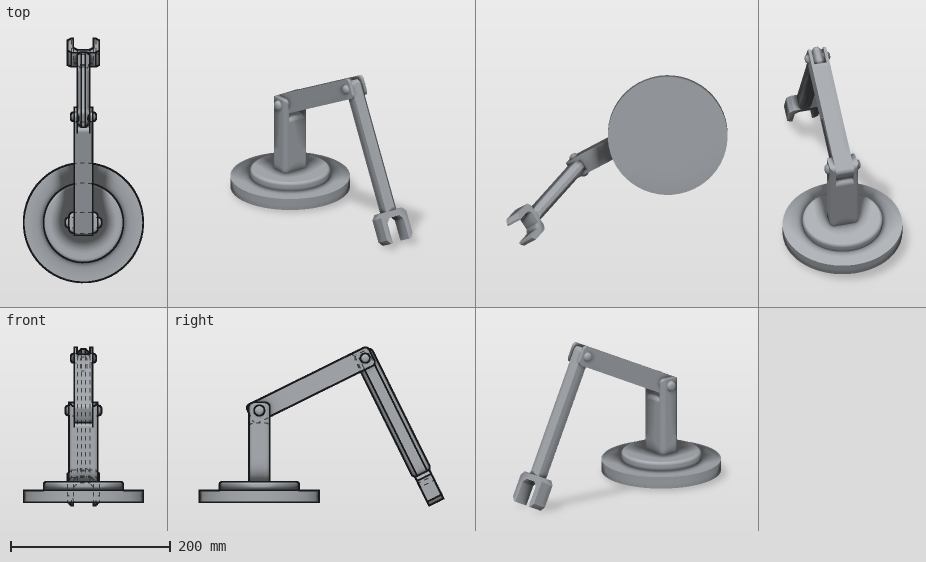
import cadquery as cq
import math

ROUND = 5.0

BASE_DIAMETER = 150.0
BASE_HEIGHT = 15.0
TURNTABLE_DIAMETER = 100.0
TURNTABLE_TOP = 26.0
TURNTABLE_ROUND = 4.0

POST_WIDTH = 36.5
POST_DEPTH = 26.3
POST_CORNER_X = 5.0
POST_CORNER_Y = 5.8
SHOULDER_HEIGHT = 115.0
POST_ABOVE_SHOULDER = 10.0
POST_SLOT_BELOW_SHOULDER = 15.3

ARM_TILT = 26.3
ARM_SPAN = 148.0
ARM_WIDTH = 23.2
ARM_DEPTH = 25.5
ARM_BEHIND_SHOULDER = 13.0
ARM_BEYOND_ELBOW = 9.2
ARM_SLOT_FROM_ELBOW = 11.0

FOREARM_WIDTH = 16.0
FOREARM_DEPTH = 25.0
FOREARM_CHAMFER = 5.5
FOREARM_TOP_ROUND = 5.8
FOREARM_ABOVE_ELBOW = 9.2
FOREARM_LENGTH = 161.0

GRIPPER_WIDTH = 40.0
GRIPPER_GAP = 25.0
GRIPPER_DEPTH = 20.2
GRIPPER_LENGTH = 40.0
GRIPPER_BACK = 8.2
GRIPPER_CHAMFER_X = 5.0
GRIPPER_CHAMFER_LENGTH = 5.5

SHOULDER_PIN_DIAMETER = 13.0
ELBOW_PIN_DIAMETER = 12.0
PIN_ROUND = 4.5
PIN_HEAD = 4.5

POST_TOP = SHOULDER_HEIGHT + POST_ABOVE_SHOULDER
POST_SLOT_FLOOR = SHOULDER_HEIGHT - POST_SLOT_BELOW_SHOULDER
ELBOW_Y = ARM_SPAN * math.cos(math.radians(ARM_TILT))
ELBOW_Z = SHOULDER_HEIGHT + ARM_SPAN * math.sin(math.radians(ARM_TILT))


def block(width, y_min, y_max, z_min, z_max):
    """Box centred on X, with the given limits in Y and Z."""
    size = (width, y_max - y_min, z_max - z_min)
    return cq.Workplane().box(*size, centered=(True, False, False)).translate((0, y_min, z_min))


def hinge_pin(diameter, fork_width):
    """Pin along X through the origin, with a domed head outside each fork cheek."""
    length = fork_width + 2 * PIN_HEAD
    return cq.Workplane("YZ").circle(diameter / 2).extrude(length / 2, both=True).edges().fillet(PIN_ROUND)


def at_shoulder(body):
    return body.rotate((0, 0, 0), (1, 0, 0), ARM_TILT).translate((0, 0, SHOULDER_HEIGHT))


def at_elbow(body):
    return body.rotate((0, 0, 0), (1, 0, 0), ARM_TILT).translate((0, ELBOW_Y, ELBOW_Z))


def make_base():
    return cq.Workplane().circle(BASE_DIAMETER / 2).extrude(BASE_HEIGHT)


def rounded_top_profile(top, bottom):
    """Sketch in the YZ plane, as deep as the post, with arcs from its flat top down to each side."""
    front = POST_DEPTH / 2
    flat = front - POST_CORNER_Y
    shoulder = top - POST_CORNER_X
    return (
        cq.Workplane("YZ").moveTo(-front, bottom).lineTo(front, bottom).lineTo(front, shoulder)
        .threePointArc(corner_middle(flat, top), (flat, top)).lineTo(-flat, top)
        .threePointArc(corner_middle(-flat, top), (-front, shoulder)).close()
    )


def corner_middle(flat, top):
    """Middle of the post corner arc, which is tangent to the plane 'top' at distance 'flat'."""
    radius = (POST_CORNER_X ** 2 + POST_CORNER_Y ** 2) / (2 * POST_CORNER_X)
    half_sweep = math.asin(POST_CORNER_Y / radius) / 2
    reach = math.copysign(radius * math.sin(half_sweep), flat)
    return (flat + reach, top - radius * (1 - math.cos(half_sweep)))


def make_turntable(arm):
    """Turntable disc and the forked post that stands on it; the arm sits in the fork."""
    disc = (
        cq.Workplane().workplane(offset=BASE_HEIGHT).circle(TURNTABLE_DIAMETER / 2)
        .extrude(TURNTABLE_TOP - BASE_HEIGHT).faces(">Z").edges().fillet(TURNTABLE_ROUND)
    )
    side_shape = rounded_top_profile(POST_TOP, BASE_HEIGHT).extrude(POST_WIDTH / 2, both=True)
    half_plan = rounded_top_profile(POST_WIDTH / 2, 0).extrude(POST_TOP)
    half_plan = half_plan.rotate((0, 0, 0), (0, 1, 0), 90).translate((0, 0, POST_TOP))
    post = side_shape.intersect(half_plan.union(half_plan.mirror("YZ")))

    fork_slot = block(ARM_WIDTH, -POST_DEPTH, POST_DEPTH, BASE_HEIGHT, POST_TOP)
    fork_floor = rounded_top_profile(POST_SLOT_FLOOR, BASE_HEIGHT).extrude(POST_WIDTH / 2, both=True)
    return disc.union(post.cut(fork_slot.cut(fork_floor))).cut(arm)


def make_arm(forearm):
    """Upper arm with the shoulder pin; its outer end is a fork that holds the forearm."""
    half_depth = ARM_DEPTH / 2
    tip = ARM_SPAN + ARM_BEYOND_ELBOW
    slot_floor = ARM_SPAN - ARM_SLOT_FROM_ELBOW
    beam = block(ARM_WIDTH, -ARM_BEHIND_SHOULDER, tip, -half_depth, half_depth).edges("|X").fillet(ROUND)
    floor_shape = block(ARM_WIDTH, 0, slot_floor, -half_depth, half_depth)
    floor_shape = floor_shape.faces(">Y").edges("|X").fillet(ROUND)
    slot = block(FOREARM_WIDTH, 0, tip, -half_depth, half_depth).cut(floor_shape)
    pin = hinge_pin(SHOULDER_PIN_DIAMETER, POST_WIDTH)
    return at_shoulder(beam.cut(slot).union(pin)).cut(forearm)


def make_forearm_beam():
    """Forearm beam hanging from the elbow axis, chamfered down both long edges and around its upper end."""
    half_depth = FOREARM_DEPTH / 2
    limits = (FOREARM_WIDTH, -half_depth, half_depth, -FOREARM_LENGTH, FOREARM_ABOVE_ELBOW)
    beam = block(*limits).faces(">Z").edges("|X").fillet(FOREARM_TOP_ROUND)
    beam = beam.faces("<X or >X").edges("not <Z").chamfer(FOREARM_CHAMFER)
    return beam.intersect(block(*limits).faces("<Z").edges("|X").fillet(ROUND))


def make_gripper():
    """U-shaped gripper opening downwards from the lower end of the forearm."""
    outer = GRIPPER_WIDTH / 2
    inner = GRIPPER_GAP / 2
    tip = -GRIPPER_LENGTH
    floor = -GRIPPER_BACK
    right_side = [
        (outer - GRIPPER_CHAMFER_X, 0), (outer, -GRIPPER_CHAMFER_LENGTH),
        (outer, tip + GRIPPER_CHAMFER_LENGTH), (outer - GRIPPER_CHAMFER_X, tip), (inner, tip),
        (inner, floor - GRIPPER_CHAMFER_LENGTH), (inner - GRIPPER_CHAMFER_X, floor),
    ]
    left_side = [(-x, z) for x, z in reversed(right_side)]
    outline = cq.Workplane("XZ").polyline(right_side + left_side).close()
    return outline.extrude(GRIPPER_DEPTH / 2, both=True).translate((0, 0, -FOREARM_LENGTH))


def make_forearm():
    """Forearm with the elbow pin and the gripper."""
    pin = hinge_pin(ELBOW_PIN_DIAMETER, ARM_WIDTH)
    return at_elbow(make_forearm_beam().union(make_gripper()).union(pin))


forearm = make_forearm()
arm = make_arm(forearm)
turntable = make_turntable(arm)
base = make_base()

result = cq.Compound.makeCompound([base.val(), turntable.val(), arm.val(), forearm.val()])